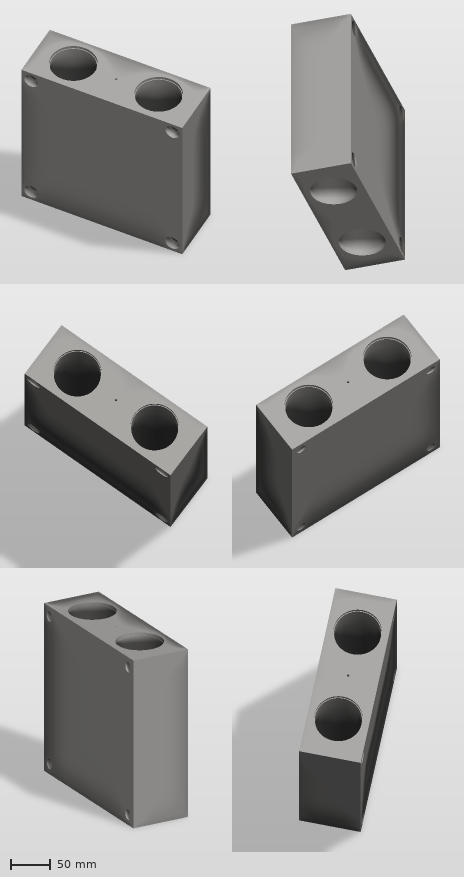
import cadquery as cq

SIDE = 230.0
THICKNESS = 80.0

BORE_DIAMETER = 60.0
BORE_SPACING = 122.0
RECESS_DIAMETER = 62.0
RECESS_DEPTH = 4.0

MOUNT_DIAMETER = 13.5
MOUNT_INSET = 14.0
COUNTERBORE_DIAMETER = 20.0
COUNTERBORE_DEPTH = 13.0

PILOT_DIAMETER = 2.0
PILOT_DEPTH = 7.0
COUNTERSINK_DIAMETER = 3.5
COUNTERSINK_ANGLE = 60.0


def make_block():
    return cq.Workplane("XY").box(SIDE, THICKNESS, SIDE)


def cut_bores(body):
    centres = [(-BORE_SPACING / 2, 0), (BORE_SPACING / 2, 0)]
    return (
        body.faces(">Z")
        .workplane(origin=(0, 0, 0))
        .pushPoints(centres)
        .cboreHole(BORE_DIAMETER, RECESS_DIAMETER, RECESS_DEPTH)
    )


def cut_mounting_holes(body):
    spacing = SIDE - 2 * MOUNT_INSET
    return (
        body.faces("<Y")
        .workplane(origin=(0, 0, 0))
        .rarray(spacing, spacing, 2, 2)
        .cboreHole(MOUNT_DIAMETER, COUNTERBORE_DIAMETER, COUNTERBORE_DEPTH)
    )


def cut_pilot_hole(body):
    return (
        body.faces(">Z")
        .workplane(origin=(0, 0, 0))
        .cskHole(PILOT_DIAMETER, COUNTERSINK_DIAMETER, COUNTERSINK_ANGLE, PILOT_DEPTH)
    )


body = make_block()
body = cut_bores(body)
body = cut_mounting_holes(body)
result = cut_pilot_hole(body)